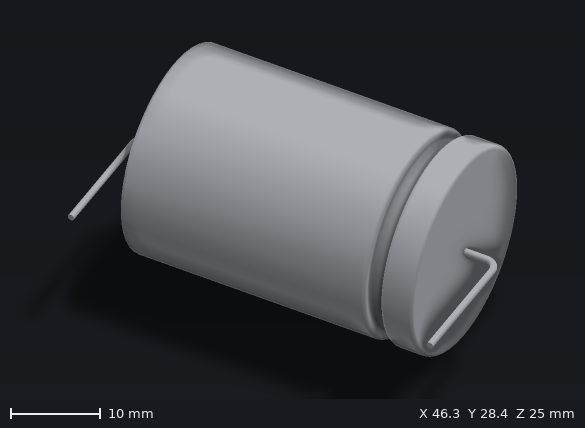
import cadquery as cq


can_length = 37.05
can_radius = 12.5
edge_radius = 0.55

collar_width = 4.0
groove_width = 2.0
groove_depth = 1.5
groove_floor_radius = 0.5

lead_radius = 0.4
lead_span = 46.28
lead_tip_y = -15.94
lead_bend_radius = 1.5
lead_embed = 1.0

can_end_x = can_length / 2
groove_right_x = can_end_x - collar_width
groove_left_x = groove_right_x - groove_width
groove_radius = can_radius - groove_depth
lead_x = lead_span / 2 - lead_radius


def cylinder_along_x(start_x, end_x, radius):
    """Solid cylinder on the X axis between two X positions."""
    return cq.Workplane("YZ", origin=(start_x, 0, 0)).circle(radius).extrude(end_x - start_x)


def make_can():
    """Can with a crimp groove and rounded edges."""
    body = cylinder_along_x(-can_end_x, groove_left_x, can_radius)
    neck = cylinder_along_x(groove_left_x, groove_right_x, groove_radius)
    collar = cylinder_along_x(groove_right_x, can_end_x, can_radius)
    can = body.union(neck).union(collar)
    outer_edges = cq.selectors.RadiusNthSelector(-1)
    floor_edges = cq.selectors.RadiusNthSelector(0)
    can = can.edges(floor_edges).fillet(groove_floor_radius)
    return can.edges(outer_edges).fillet(edge_radius)


def make_lead():
    """Lead at the +X end: out along X, then bent toward -Y."""
    start_x = can_end_x - lead_embed
    bend_start_x = lead_x - lead_bend_radius
    path = (
        cq.Workplane("XY")
        .moveTo(start_x, 0)
        .lineTo(bend_start_x, 0)
        .tangentArcPoint((lead_x, -lead_bend_radius), relative=False)
        .lineTo(lead_x, lead_tip_y)
    )
    return cq.Workplane("YZ", origin=(start_x, 0, 0)).circle(lead_radius).sweep(path)


lead = make_lead()
result = make_can().union(lead).union(lead.mirror("YZ"))